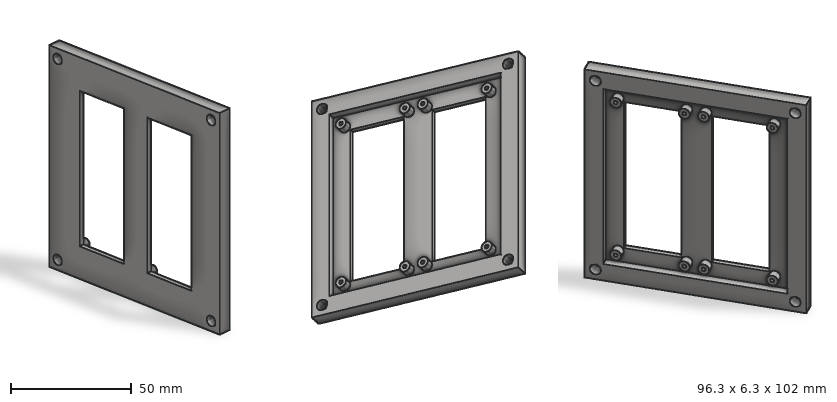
import cadquery as cq

width = 96.3
height = 102.0
thickness = 6.3

panel_thickness = 2.4
rim_width = 8.2

mount_hole_diameter = 4.8
mount_hole_inset = 4.8

window_width = 25.0
window_height = 71.5
window_pitch = 38.1
window_pair_center_x = 0.6
window_center_z = -0.2

boss_diameter = 4.8
pilot_diameter = 1.6
boss_clearance_z = 1.6
boss_offset_x = window_width / 2 + boss_diameter / 2
boss_offset_z = window_height / 2 + boss_clearance_z

SIGNS = (-1, 1)
window_centers = [
    (window_pair_center_x + side * window_pitch / 2, window_center_z) for side in SIGNS
]
mount_points = [
    (sx * (width / 2 - mount_hole_inset), sz * (height / 2 - mount_hole_inset))
    for sx in SIGNS
    for sz in SIGNS
]
boss_points = [
    (x + sx * boss_offset_x, z + sz * boss_offset_z)
    for x, z in window_centers
    for sx in SIGNS
    for sz in SIGNS
]


def plane_at(depth):
    """XZ sketch plane at Y = depth; extrusions go toward -Y."""
    return cq.Workplane("XZ", origin=(0, depth, 0))


def block(points, size_x, size_z, front, back):
    """Rectangular blocks centred on the points, from Y = front to Y = back."""
    return plane_at(back).pushPoints(points).rect(size_x, size_z).extrude(back - front)


def cylinders(points, diameter, front, back):
    """Cylinders along Y on the points, from Y = front to Y = back."""
    return plane_at(back).pushPoints(points).circle(diameter / 2).extrude(back - front)


center = [(0, 0)]
plate = block(center, width, height, 0, thickness)
pocket = block(
    center, width - 2 * rim_width, height - 2 * rim_width, panel_thickness, thickness
)
result = plate.cut(pocket)

result = result.cut(block(window_centers, window_width, window_height, 0, thickness))
result = result.cut(cylinders(mount_points, mount_hole_diameter, 0, thickness))

result = result.union(cylinders(boss_points, boss_diameter, panel_thickness / 2, thickness))
result = result.cut(cylinders(boss_points, pilot_diameter, panel_thickness, thickness))